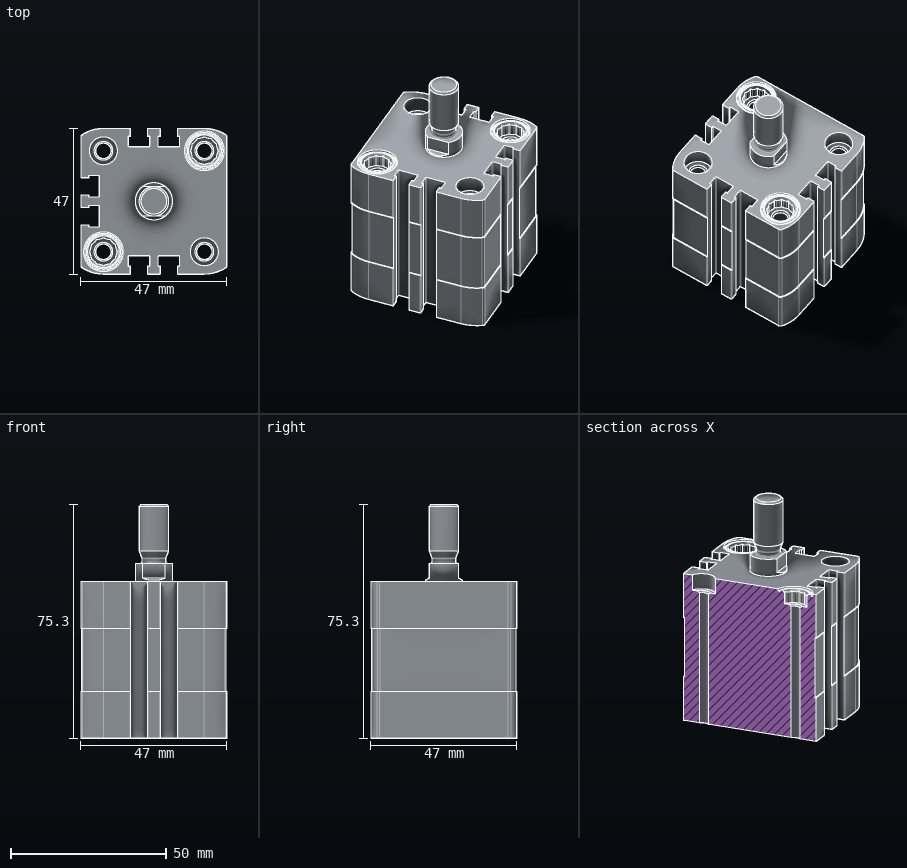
import cadquery as cq
import math

width = 47.0
half_width = width / 2
housing_height = 50.5
cap_height = 15.1
barrel_inset = 0.25

corner_arc_radius = 13.0
corner_arc_start = 16.2
corner_edge_fillet = 1.0

slot_offset = 4.81
slot_opening = 5.5
slot_inner_width = 6.85
slot_lip = 2.6
slot_depth = 5.9
slot_corner_radius = 0.2

bolt_pitch = 32.5
bolt_offset = bolt_pitch / 2
through_diameter = 4.92
entry_diameter = 6.0
counterbore_diameter = 9.0
counterbore_depth = 5.2

groove_diameter = 12.8
groove_depth = 0.8
head_diameter = 11.9
head_chamfer_depth = 0.25
head_flat_diameter = 11.0
head_recess = 0.2
socket_mouth_diameter = 10.2
socket_diameter = 8.5
socket_depth = 4.8
socket_points = 12
socket_tip_radius = 4.5
socket_notch_root = 4.15
socket_notch_half_width = 0.7

rod_diameter = 12.0
rod_length = 5.85
neck_diameter = 7.7
neck_length = 1.6
neck_fillet = 0.4
runout_fillet = 0.6
runout_length = 2.35
total_height = 75.35
thread_diameter = 9.53
thread_chamfer = 0.65
flat_width = 9.53
flat_bottom = 1.1
flat_ramp_angle = 30.0


def block_section(inset, height):
    """Slab with the plan outline of the block, moved inwards by inset."""
    side = half_width - inset
    arc_radius = corner_arc_radius - inset
    arc_centre_y = side - arc_radius
    reach = side - corner_arc_start
    arc_end_y = arc_centre_y + math.sqrt(arc_radius**2 - reach**2)
    mid_angle = math.asin(reach / arc_radius) / 2
    mid_x = corner_arc_start + arc_radius * math.sin(mid_angle)
    mid_y = arc_centre_y + arc_radius * math.cos(mid_angle)
    slab = (
        cq.Workplane("XY")
        .moveTo(-corner_arc_start, side)
        .lineTo(corner_arc_start, side)
        .threePointArc((mid_x, mid_y), (side, arc_end_y))
        .lineTo(side, -arc_end_y)
        .threePointArc((mid_x, -mid_y), (corner_arc_start, -side))
        .lineTo(-corner_arc_start, -side)
        .threePointArc((-mid_x, -mid_y), (-side, -arc_end_y))
        .lineTo(-side, arc_end_y)
        .threePointArc((-mid_x, mid_y), (-corner_arc_start, side))
        .close()
        .extrude(height)
    )
    return slab.faces("<X or >X").edges("|Z").fillet(corner_edge_fillet)


def block():
    """Two end caps joined by a slightly smaller barrel."""
    cap = block_section(0, cap_height)
    barrel = block_section(barrel_inset, housing_height)
    return barrel.union(cap).union(cap.translate((0, 0, housing_height - cap_height)))


def slot_cutter():
    """T-slot cutter through the side at y = -half_width, centred on X."""
    lip_y = -half_width + slot_lip
    floor_y = -half_width + slot_depth
    opening = (
        cq.Workplane("XY")
        .rect(slot_opening, 2 * slot_lip)
        .extrude(housing_height)
        .translate((0, -half_width, 0))
    )
    chamber = (
        cq.Workplane("XY")
        .center(0, (lip_y + floor_y) / 2)
        .rect(slot_inner_width, slot_depth - slot_lip)
        .extrude(housing_height)
        .edges("|Z and >Y")
        .fillet(slot_corner_radius)
    )
    return opening.union(chamber)


def all_slots():
    """Slot pairs on the -Y, -X and +Y sides, running the full height."""
    slots = cq.Workplane("XY")
    for side_angle in (0, -90, 180):
        for offset in (-slot_offset, slot_offset):
            slot = slot_cutter().translate((offset, 0, 0))
            slots = slots.add(slot.rotate((0, 0, 0), (0, 0, 1), side_angle))
    return slots.combine()


def round_opening_edges(body):
    """Round the vertical edges where the slots break out through the caps."""
    reach = slot_offset + slot_opening
    half_box_height = cap_height / 4
    for z in (cap_height / 2, housing_height - cap_height / 2):
        for x, y in ((0, -half_width), (0, half_width), (-half_width, 0)):
            along_x = reach if x == 0 else slot_corner_radius
            along_y = reach if y == 0 else slot_corner_radius
            box = cq.selectors.BoxSelector(
                (x - along_x, y - along_y, z - half_box_height),
                (x + along_x, y + along_y, z + half_box_height),
            )
            body = body.edges("|Z").edges(box).fillet(slot_corner_radius)
    return body


def revolve_below_face(outline):
    """Revolve (radius, depth) points about Z, with depth measured below the end face."""
    points = [(radius, housing_height - depth) for radius, depth in outline]
    return cq.Workplane("XZ").polyline(points).close().revolve(360, (0, 0, 0), (0, 1, 0))


def through_hole(floor_depth):
    """Through hole with a 45 degree countersunk mouth at the given depth."""
    countersink = (entry_diameter - through_diameter) / 2
    return revolve_below_face([
        (0, floor_depth),
        (entry_diameter / 2, floor_depth),
        (through_diameter / 2, floor_depth + countersink),
        (through_diameter / 2, housing_height),
        (0, housing_height),
    ])


def counterbored_hole():
    """Through hole at the bottom of a plain counterbore."""
    counterbore = revolve_below_face([
        (0, 0),
        (counterbore_diameter / 2, 0),
        (counterbore_diameter / 2, counterbore_depth),
        (0, counterbore_depth),
    ])
    return counterbore.union(through_hole(counterbore_depth))


def screw_head_hole():
    """Recess that leaves a screw head with a 12-point socket and a through hole."""
    socket_cone_depth = head_recess + (socket_mouth_diameter - socket_diameter) / 2
    cutter = revolve_below_face([
        (0, 0),
        (groove_diameter / 2, 0),
        (groove_diameter / 2, groove_depth),
        (head_diameter / 2, groove_depth),
        (head_diameter / 2, head_recess + head_chamfer_depth),
        (head_flat_diameter / 2, head_recess),
        (socket_mouth_diameter / 2, head_recess),
        (socket_diameter / 2, socket_cone_depth),
        (socket_diameter / 2, socket_depth),
        (0, socket_depth),
    ])
    notch = (
        cq.Workplane("XY", origin=(0, 0, housing_height - socket_depth))
        .polyline([
            (0, -socket_notch_half_width),
            (socket_notch_root, -socket_notch_half_width),
            (socket_tip_radius, 0),
            (socket_notch_root, socket_notch_half_width),
            (0, socket_notch_half_width),
        ])
        .close()
        .extrude(socket_depth)
    )
    for index in range(socket_points):
        cutter = cutter.union(notch.rotate((0, 0, 0), (0, 0, 1), index * 360 / socket_points))
    return cutter.union(through_hole(socket_depth))


def make_housing():
    body = round_opening_edges(block().cut(all_slots()))
    for side in (-1, 1):
        body = body.cut(screw_head_hole().translate((side * bolt_offset, side * bolt_offset, 0)))
        body = body.cut(counterbored_hole().translate((side * bolt_offset, -side * bolt_offset, 0)))
    return body


def wrench_flat():
    """Cutter for the flat on the +Y side of the rod, with a sloping ramp below it."""
    outer = rod_diameter
    inner = flat_width / 2
    base = housing_height + flat_bottom
    ramp_drop = (outer - inner) * math.tan(math.radians(flat_ramp_angle))
    return (
        cq.Workplane("YZ")
        .polyline([
            (inner, base),
            (inner, housing_height + rod_length),
            (outer, housing_height + rod_length),
            (outer, base - ramp_drop),
        ])
        .close()
        .extrude(rod_diameter, both=True)
    )


def make_rod():
    """Piston rod standing on the end face, with a male thread blank on top."""
    shoulder = housing_height + rod_length
    neck_top = shoulder + neck_length
    fillet_bulge = neck_fillet * (1 - math.sqrt(0.5))
    rod = (
        cq.Workplane("XZ")
        .moveTo(0, housing_height)
        .lineTo(rod_diameter / 2, housing_height)
        .lineTo(rod_diameter / 2, shoulder)
        .lineTo(neck_diameter / 2 + neck_fillet, shoulder)
        .threePointArc(
            (neck_diameter / 2 + fillet_bulge, shoulder + fillet_bulge),
            (neck_diameter / 2, shoulder + neck_fillet),
        )
        .lineTo(neck_diameter / 2, neck_top)
        .lineTo(thread_diameter / 2, neck_top + runout_length)
        .lineTo(thread_diameter / 2, total_height - thread_chamfer)
        .lineTo(thread_diameter / 2 - thread_chamfer, total_height)
        .lineTo(0, total_height)
        .close()
        .revolve(360, (0, 0, 0), (0, 1, 0))
    )
    neck_edge = cq.selectors.NearestToPointSelector((0, 0, neck_top))
    rod = rod.edges("%CIRCLE").edges(neck_edge).fillet(runout_fillet)
    return rod.cut(wrench_flat()).cut(wrench_flat().mirror("XZ"))


housing = make_housing()
rod = make_rod()

result = cq.Compound.makeCompound([housing.val(), rod.val()])